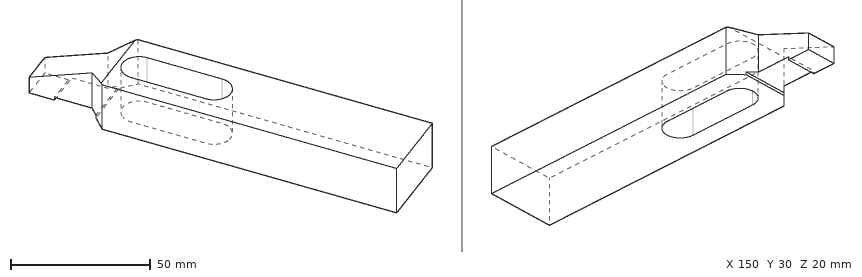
import cadquery as cq

length = 150.0
width = 30.0
height = 20.0

nose_width = 13.2
nose_length = 25.0
nose_tip_height = 7.0
shoulder_end = 33.0
slope_end = 32.2

relief_start = 10.0
relief_end = 28.0
relief_depth = 1.2

slot_width = 13.2
slot_start = 34.0
slot_end = 77.0


def make_side_profile():
    """Bar extruded across Y from its sloped and relieved side outline."""
    return (
        cq.Workplane("XZ")
        .polyline([
            (0, 0),
            (relief_start, 0),
            (relief_start, relief_depth),
            (relief_end, relief_depth),
            (relief_end, 0),
            (length, 0),
            (length, height),
            (slope_end, height),
            (0, nose_tip_height),
        ])
        .close()
        .extrude(width / 2, both=True)
    )


def make_plan_profile():
    """Vertical prism with the narrow nose and flaring shoulders."""
    return (
        cq.Workplane("XY")
        .polyline([
            (0, -nose_width / 2),
            (nose_length, -nose_width / 2),
            (shoulder_end, -width / 2),
            (length, -width / 2),
            (length, width / 2),
            (shoulder_end, width / 2),
            (nose_length, nose_width / 2),
            (0, nose_width / 2),
        ])
        .close()
        .extrude(height)
    )


def make_slot():
    """Round-ended cutter through the full height."""
    return (
        cq.Workplane("XY")
        .center((slot_start + slot_end) / 2, 0)
        .slot2D(slot_end - slot_start, slot_width)
        .extrude(height)
    )


result = make_side_profile().intersect(make_plan_profile()).cut(make_slot())